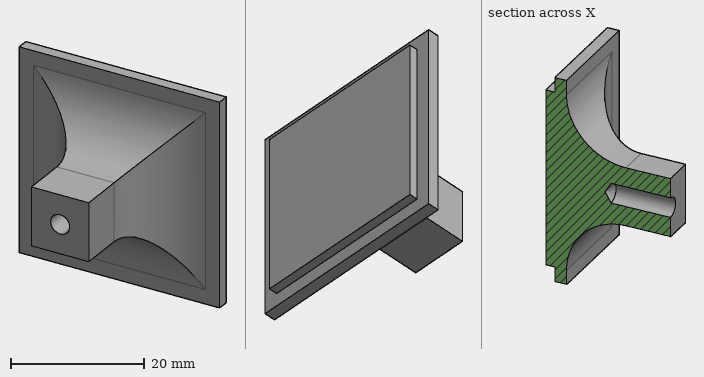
import cadquery as cq
import math

plate_width = 35.0
plate_thickness = 2.0
overall_depth = 21.0

stem_width = 10.0
flare_radius = 10.0
flare_base_width = stem_width + 2 * flare_radius

pad_width = flare_base_width
pad_thickness = 1.5

hole_diameter = 3.3
hole_depth = 10.0
drill_tip_angle = 118.0

plate_back_y = plate_thickness
pad_back_y = plate_back_y + pad_thickness
stem_end_y = pad_back_y - overall_depth


def square_block(width, front_y, back_y):
    """Square block centred on the Y axis between two Y positions."""
    block = cq.Workplane("XY").box(width, back_y - front_y, width)
    return block.translate((0, (front_y + back_y) / 2, 0))


def flare_prism():
    """Flare and stem profile in XY, extruded along Z over the flare base."""
    base = flare_base_width / 2
    stem = stem_width / 2
    arc_offset = flare_radius * (1 - math.sqrt(0.5))
    arc_x = stem + arc_offset
    arc_y = -arc_offset
    return (
        cq.Workplane("XY")
        .moveTo(-base, 0)
        .threePointArc((-arc_x, arc_y), (-stem, -flare_radius))
        .lineTo(-stem, stem_end_y)
        .lineTo(stem, stem_end_y)
        .lineTo(stem, -flare_radius)
        .threePointArc((arc_x, arc_y), (base, 0))
        .close()
        .extrude(base, both=True)
    )


def drilled_hole():
    """Cylindrical bore with a conical drill tip, along the Y axis."""
    radius = hole_diameter / 2
    tip_length = radius / math.tan(math.radians(drill_tip_angle / 2))
    bore_end_y = stem_end_y + hole_depth
    return (
        cq.Workplane("XY")
        .moveTo(0, stem_end_y)
        .lineTo(radius, stem_end_y)
        .lineTo(radius, bore_end_y)
        .lineTo(0, bore_end_y + tip_length)
        .close()
        .revolve(360, (0, 0, 0), (0, 1, 0))
    )


flare_across_x = flare_prism()
flare_across_z = flare_across_x.rotate((0, 0, 0), (0, 1, 0), 90)
flared_stem = flare_across_x.intersect(flare_across_z)

plate = square_block(plate_width, 0, plate_back_y)
pad = square_block(pad_width, plate_back_y, pad_back_y)

result = plate.union(pad).union(flared_stem).cut(drilled_hole())